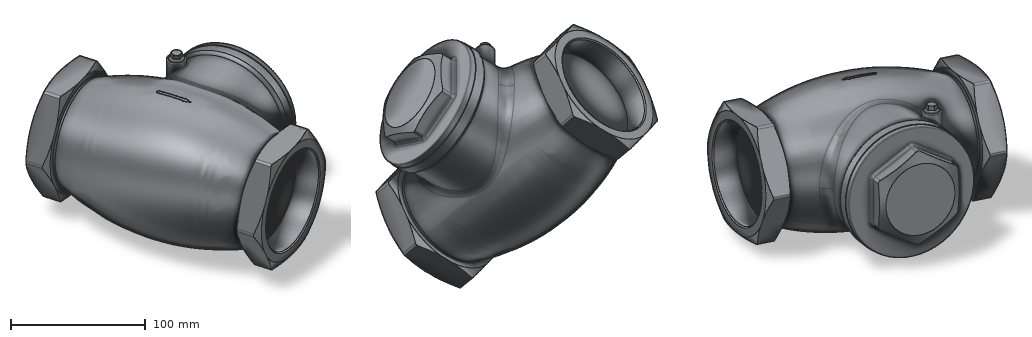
import cadquery as cq
import math


length = 200.0
end_width = 20.0
end_across_flats = 95.0
end_corner_radius = 2.5
end_chamfer = 3.0
collar_radius = 43.5
collar_length = 1.8
barrel_radius = 59.2
bore_diameter = 80.0
bore_depth = 20.0
bore_chamfer = 1.0

neck_diameter = 100.0
neck_fillet = 10.0
rim_diameter = 105.0
rim_top = 84.5
rim_width = 8.0

cover_face_diameter = 103.0
cover_thickness = 4.8
cover_edge_fillet = 0.5
cover_diameter = cover_face_diameter + 2 * cover_edge_fillet
cover_top = 104.0
cover_across_flats = 66.0
cover_corner_radius = 3.0
cover_chamfer = 4.0
cover_root_fillet = 3.0

hex_cone_angle = 24.0

boss_x = -32.5
boss_y = 58.5
boss_diameter = 15.0
boss_top = 47.8
boss_edge_fillet = 0.5
boss_root_fillet = 0.5
plug_collar_diameter = 12.0
plug_collar_top = 49.5
plug_collar_fillet = 0.8
plug_across_flats = 7.5
plug_top = 53.2
plug_chamfer = 0.5

arrow_height = 0.5
arrow_tail_x = -16.0
arrow_head_x = 7.0
arrow_tip_x = 12.8
arrow_shaft_width = 2.8
arrow_head_width = 4.5

collar_end = length / 2 - end_width
barrel_end = collar_end - collar_length


def across_corners(across_flats):
    """Sharp corner-to-corner size of a hexagon."""
    return across_flats / math.cos(math.pi / 6)


def hex_prism(across_flats, height, corner_radius):
    """Hexagonal prism on the XY plane, corners on the X axis, with rounded vertical edges."""
    prism = cq.Workplane("XY").polygon(6, across_corners(across_flats)).extrude(height)
    return prism.edges("|Z").fillet(corner_radius)


def chamfer_envelope(across_flats, corner_radius, height, lower_chamfer, upper_chamfer):
    """Solid of revolution that trims the corners of a hexagonal prism at a shallow cone angle."""
    corner_setback = across_corners(corner_radius) - corner_radius
    tip_radius = across_corners(across_flats) / 2 - corner_setback
    slope = math.tan(math.radians(hex_cone_angle))
    profile = cq.Workplane("XZ")
    if lower_chamfer:
        profile = profile.lineTo(tip_radius - lower_chamfer / slope, 0)
    profile = (
        profile.lineTo(tip_radius, lower_chamfer)
        .lineTo(tip_radius, height - upper_chamfer)
        .lineTo(tip_radius - upper_chamfer / slope, height)
        .lineTo(0, height)
        .close()
    )
    return profile.revolve(360, (0, 0, 0), (0, 1, 0))


def end_hex(side):
    """Hex end at side = -1 or +1 on the X axis, corners pointing along Y."""
    nut = hex_prism(end_across_flats, end_width, end_corner_radius)
    nut = nut.intersect(
        chamfer_envelope(end_across_flats, end_corner_radius, end_width, end_chamfer, end_chamfer)
    )
    nut = nut.rotate((0, 0, 0), (0, 0, 1), 90).rotate((0, 0, 0), (0, 1, 0), 90)
    start = collar_end if side > 0 else -length / 2
    return nut.translate((start, 0, 0))


def end_bore(side):
    """Blind bore with a chamfered mouth, open at side = -1 or +1 on the X axis."""
    mouth = length / 2
    bore_radius = bore_diameter / 2
    bore = (
        cq.Workplane("XY")
        .moveTo(mouth - bore_depth, 0)
        .lineTo(mouth - bore_depth, bore_radius)
        .lineTo(mouth - bore_chamfer, bore_radius)
        .lineTo(mouth, bore_radius + bore_chamfer)
        .lineTo(mouth, 0)
        .close()
        .revolve(360, (0, 0, 0), (1, 0, 0))
    )
    return bore if side > 0 else bore.mirror("YZ")


def barrel_solid(offset=0.0):
    """Bulged barrel with short end collars, grown outwards by offset."""
    end_radius = collar_radius + offset
    return (
        cq.Workplane("XY")
        .moveTo(-collar_end, 0)
        .lineTo(-collar_end, end_radius)
        .lineTo(-barrel_end, end_radius)
        .threePointArc((0, barrel_radius + offset), (barrel_end, end_radius))
        .lineTo(collar_end, end_radius)
        .lineTo(collar_end, 0)
        .close()
        .revolve(360, (0, 0, 0), (1, 0, 0))
    )


def disc_along_y(diameter, start, end):
    """Cylinder on the bonnet axis from Y = start to Y = end."""
    return cq.Workplane("XZ", origin=(0, start, 0)).circle(diameter / 2).extrude(start - end)


def bonnet_neck():
    """Neck with a rim at its open end; the rim runs down to the neck as a 45 degree cone."""
    neck_radius = neck_diameter / 2
    rim_radius = rim_diameter / 2
    rim_bottom = rim_top - rim_width
    return (
        cq.Workplane("XY")
        .lineTo(neck_radius, 0)
        .lineTo(neck_radius, rim_bottom - (rim_radius - neck_radius))
        .lineTo(rim_radius, rim_bottom)
        .lineTo(rim_radius, rim_top)
        .lineTo(0, rim_top)
        .close()
        .revolve(360, (0, 0, 0), (0, 1, 0))
    )


def barrel_with_neck():
    """Barrel and neck blended by a fillet along their saddle-shaped seam."""
    body = barrel_solid().union(bonnet_neck())
    return body.edges("%BSPLINE").fillet(neck_fillet)


def side_boss():
    """Round boss standing on the neck, with a rounded top edge."""
    return (
        cq.Workplane("XY", origin=(boss_x, boss_y, 0))
        .circle(boss_diameter / 2)
        .extrude(boss_top)
        .faces(">Z")
        .edges()
        .fillet(boss_edge_fillet)
    )


def boss_root_box():
    """Box around the boss, for picking the edge where it leaves the neck."""
    return cq.selectors.BoxSelector(
        (boss_x - boss_diameter, boss_y - boss_diameter, 0),
        (boss_x + boss_diameter, boss_y + boss_diameter, boss_top),
    )


def boss_plug():
    """Collar and small hex head on top of the boss."""
    collar = (
        cq.Workplane("XY")
        .circle(plug_collar_diameter / 2)
        .extrude(plug_collar_top - boss_top)
        .faces(">Z")
        .edges()
        .fillet(plug_collar_fillet)
    )
    plug_height = plug_top - boss_top
    plug_across_corners = across_corners(plug_across_flats)
    prism = cq.Workplane("XY").polygon(6, plug_across_corners).extrude(plug_height)
    trim = (
        cq.Workplane("XY")
        .circle(plug_across_corners / 2)
        .extrude(plug_height)
        .faces(">Z")
        .chamfer(plug_chamfer, (plug_across_corners - plug_across_flats) / 2)
    )
    head = prism.intersect(trim).rotate((0, 0, 0), (0, 0, 1), 90)
    return collar.union(head).translate((boss_x, boss_y, boss_top))


def flow_arrow():
    """Raised arrow pointing along +X on top of the barrel."""
    half_shaft = arrow_shaft_width / 2
    half_head = arrow_head_width / 2
    column = (
        cq.Workplane("XY")
        .moveTo(arrow_tail_x + half_shaft, half_shaft)
        .lineTo(arrow_head_x, half_shaft)
        .lineTo(arrow_head_x, half_head)
        .lineTo(arrow_tip_x, 0)
        .lineTo(arrow_head_x, -half_head)
        .lineTo(arrow_head_x, -half_shaft)
        .lineTo(arrow_tail_x + half_shaft, -half_shaft)
        .threePointArc((arrow_tail_x, 0), (arrow_tail_x + half_shaft, half_shaft))
        .close()
        .extrude(barrel_radius + arrow_height)
    )
    return column.intersect(barrel_solid(arrow_height))


def make_housing():
    """Barrel, neck, boss with its plug, flow arrow and bored hex ends in one solid."""
    body = barrel_with_neck().union(side_boss())
    body = body.edges(boss_root_box()).edges("%BSPLINE").fillet(boss_root_fillet)
    body = body.union(boss_plug()).union(flow_arrow())
    for side in (-1, 1):
        body = body.union(end_hex(side)).cut(end_bore(side))
    return body


def make_cover():
    """Round cover resting on the rim, with a hex head whose corners point along Z."""
    disc_top = rim_top + cover_thickness
    disc = disc_along_y(cover_diameter, rim_top, disc_top).faces(">Y").edges().fillet(cover_edge_fillet)
    head_height = cover_top - disc_top
    prism = hex_prism(cover_across_flats, head_height, cover_corner_radius)
    trim = chamfer_envelope(cover_across_flats, cover_corner_radius, head_height, 0, cover_chamfer)
    head = prism.intersect(trim).rotate((0, 0, 0), (1, 0, 0), -90)
    head = head.rotate((0, 0, 0), (0, 1, 0), 90).translate((0, disc_top, 0))
    cover = disc.union(head)
    reach = across_corners(cover_across_flats) / 2
    root_edges = cq.selectors.BoxSelector(
        (-reach, disc_top - cover_edge_fillet, -reach),
        (reach, disc_top + cover_edge_fillet, reach),
        boundingbox=True,
    )
    return cover.edges(root_edges).fillet(cover_root_fillet)


housing = make_housing()
cover = make_cover()

result = cq.Compound.makeCompound([housing.solids().val(), cover.solids().val()])